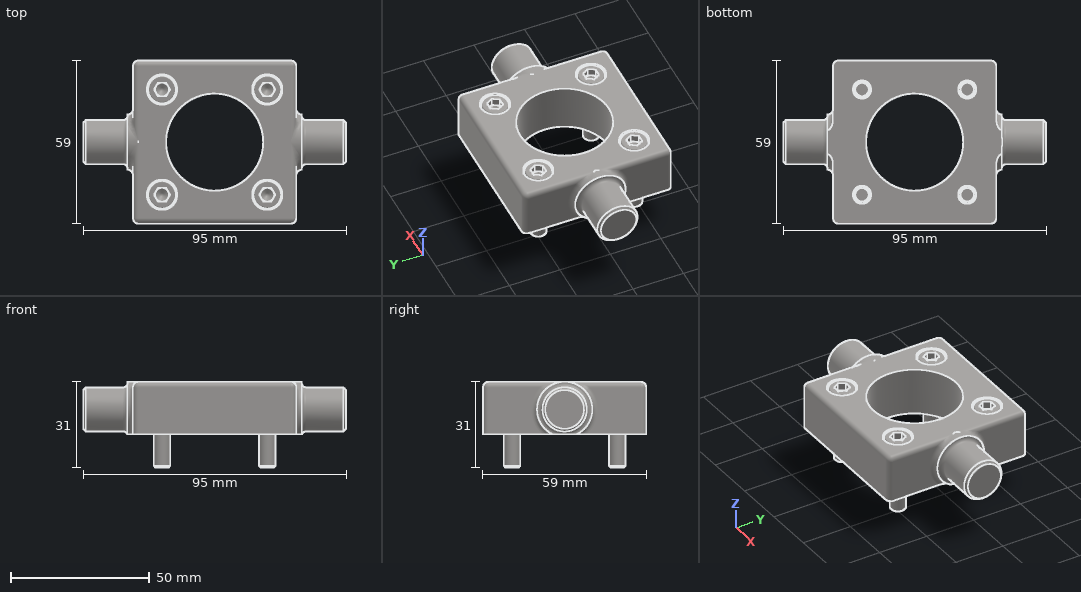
import cadquery as cq
import math

BODY_SIDE = 59.0
BODY_HEIGHT = 19.0
BORE_DIAMETER = 35.0
EDGE_RADIUS = 2.0

OVERALL_LENGTH = 95.0
TRUNNION_RADIUS = 8.0
TRUNNION_AXIS_Z = 9.0
TRUNNION_CHAMFER = 1.0
TRUNNION_ROOT_RADIUS = 1.5
COLLAR_RADIUS = BODY_HEIGHT - TRUNNION_AXIS_Z
COLLAR_LENGTH = 2.0
COLLAR_ROOT_RADIUS = 2.0
COLLAR_SPARE_LENGTH = 1.0

SCREW_SPACING = 38.0
SHANK_DIAMETER = 6.0
SHANK_PROTRUSION = 12.0
SHANK_CHAMFER = 0.6
CLEARANCE_DIAMETER = 6.6
HEAD_DIAMETER = 10.0
HEAD_HEIGHT = 6.0
HEAD_EDGE_RADIUS = 0.6
COUNTERBORE_DIAMETER = 11.0
SOCKET_ACROSS_FLATS = 5.0
SOCKET_DEPTH = 3.0
SOCKET_TIP_ANGLE = 120.0

BODY_HALF = BODY_SIDE / 2
COLLAR_END_X = BODY_HALF + COLLAR_LENGTH
TRUNNION_END_X = OVERALL_LENGTH / 2
HEAD_SEAT_Z = BODY_HEIGHT - HEAD_HEIGHT


def slab(end_x):
    """Block as wide and as high as the body, reaching from -end_x to +end_x."""
    return cq.Workplane("XY").box(2 * end_x, BODY_SIDE, BODY_HEIGHT, centered=(True, True, False))


def upright_cylinder(diameter, bottom_z, top_z):
    """Cylinder on the Z axis between two heights."""
    return cq.Workplane("XY").workplane(offset=bottom_z).circle(diameter / 2).extrude(top_z - bottom_z)


def make_body():
    """Square block with rounded vertical and top edges."""
    block = slab(BODY_HALF).edges("|Z").fillet(EDGE_RADIUS)
    return block.faces(">Z").edges().fillet(EDGE_RADIUS)


def add_collars(body):
    """Collars on both X faces, cut flat with the underside and blended into the body."""
    long_end_x = COLLAR_END_X + COLLAR_SPARE_LENGTH
    collars = (
        cq.Workplane("YZ")
        .center(0, TRUNNION_AXIS_Z)
        .circle(COLLAR_RADIUS)
        .extrude(long_end_x, both=True)
        .intersect(slab(long_end_x))
    )
    blended = body.union(collars)
    for side in (-1, 1):
        inner_x = side * (BODY_HALF - EDGE_RADIUS)
        outer_x = side * (BODY_HALF + COLLAR_LENGTH / 2)
        seam_zone = cq.selectors.BoxSelector(
            (inner_x, -COLLAR_RADIUS, 0),
            (outer_x, COLLAR_RADIUS, BODY_HEIGHT),
        )
        blended = blended.edges(seam_zone).fillet(COLLAR_ROOT_RADIUS)
    return blended.intersect(slab(COLLAR_END_X))


def make_trunnion():
    """+X trunnion with a chamfered end and a concave root on the collar face."""
    root_rim = TRUNNION_RADIUS + TRUNNION_ROOT_RADIUS
    root_end_x = COLLAR_END_X + TRUNNION_ROOT_RADIUS
    arc_inset = TRUNNION_ROOT_RADIUS * (1 - math.sqrt(0.5))
    turned = (
        cq.Workplane("XZ", origin=(0, 0, TRUNNION_AXIS_Z))
        .moveTo(BODY_HALF, 0)
        .lineTo(BODY_HALF, root_rim)
        .lineTo(COLLAR_END_X, root_rim)
        .threePointArc(
            (COLLAR_END_X + arc_inset, TRUNNION_RADIUS + arc_inset),
            (root_end_x, TRUNNION_RADIUS),
        )
        .lineTo(TRUNNION_END_X - TRUNNION_CHAMFER, TRUNNION_RADIUS)
        .lineTo(TRUNNION_END_X, TRUNNION_RADIUS - TRUNNION_CHAMFER)
        .lineTo(TRUNNION_END_X, 0)
        .close()
        .revolve(360, (0, 0, 0), (1, 0, 0))
    )
    return turned.intersect(slab(TRUNNION_END_X))


def make_screw_hole():
    """Counterbored clearance hole, as a cutter on the Z axis."""
    clearance = upright_cylinder(CLEARANCE_DIAMETER, 0, BODY_HEIGHT)
    counterbore = upright_cylinder(COUNTERBORE_DIAMETER, HEAD_SEAT_Z, BODY_HEIGHT)
    return clearance.union(counterbore)


def make_socket():
    """Hexagonal socket with a conical floor, as a cutter on the Z axis."""
    corner_diameter = SOCKET_ACROSS_FLATS / math.cos(math.radians(30))
    floor_z = BODY_HEIGHT - SOCKET_DEPTH
    floor_radius = SOCKET_ACROSS_FLATS / 2
    tip_depth = floor_radius / math.tan(math.radians(SOCKET_TIP_ANGLE / 2))
    hexagon = (
        cq.Workplane("XY")
        .workplane(offset=floor_z)
        .polygon(6, corner_diameter)
        .extrude(SOCKET_DEPTH)
    )
    tip = cq.Workplane(
        cq.Solid.makeCone(floor_radius, 0, tip_depth, pnt=(0, 0, floor_z), dir=(0, 0, -1))
    )
    return hexagon.union(tip)


def make_screw():
    """Socket head screw on the Z axis, its head flush with the top face."""
    head = upright_cylinder(HEAD_DIAMETER, HEAD_SEAT_Z, BODY_HEIGHT)
    head = head.faces(">Z").edges().fillet(HEAD_EDGE_RADIUS)
    shank = upright_cylinder(SHANK_DIAMETER, -SHANK_PROTRUSION, HEAD_SEAT_Z)
    shank = shank.faces("<Z").chamfer(SHANK_CHAMFER)
    return head.union(shank).cut(make_socket())


result = add_collars(make_body())
trunnion = make_trunnion()
result = result.union(trunnion).union(trunnion.mirror("YZ"))
result = result.cut(upright_cylinder(BORE_DIAMETER, 0, BODY_HEIGHT))

screw_hole = make_screw_hole()
screw = make_screw()
for x in (-SCREW_SPACING / 2, SCREW_SPACING / 2):
    for y in (-SCREW_SPACING / 2, SCREW_SPACING / 2):
        result = result.cut(screw_hole.translate((x, y, 0)))
        result = result.union(screw.translate((x, y, 0)))